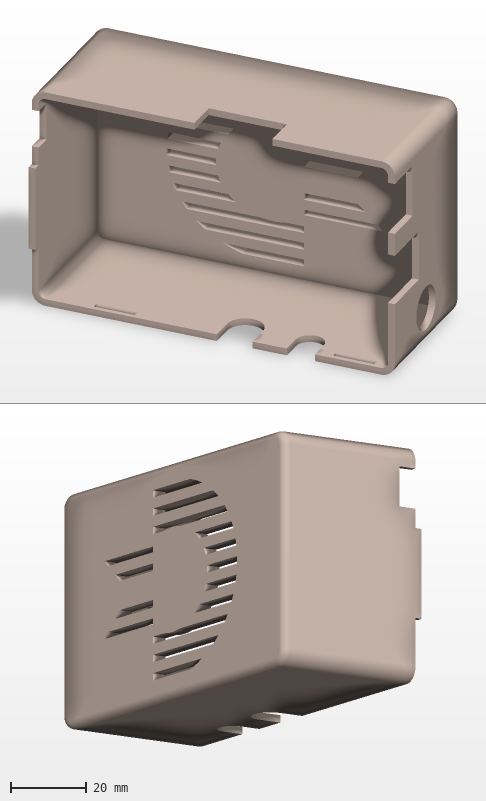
import cadquery as cq

LENGTH = 106.0
HEIGHT = 64.0
DEPTH = 42.4
WALL = 2.0
CORNER_RADIUS = 2 * WALL
BACK_WALL = 2 * WALL
BACK_EDGE_RADIUS = WALL

TAB_BOTTOM = -14.7
TAB_TOP = 9.8
TAB_REACH = WALL

SIDE_NOTCH_TOP = 26.0
LEFT_NOTCH = (15.0, SIDE_NOTCH_TOP, 5.1)
RIGHT_NOTCHES = [(11.0, SIDE_NOTCH_TOP, 11.7), (-10.1, 4.5, 15.7)]
TOP_NOTCH = (-5.5, 17.3, 9.3)

FLOOR_NOTCHES = [(6.3, 10.4, 12.0), (25.5, 8.2, 10.0)]

SIDE_HOLE_DIAMETER = 12.7
SIDE_HOLE_Y = 20.4
SIDE_HOLE_Z = -20.8

GROOVE_LENGTH = 12.0
GROOVE_RADIUS = 1.0
GROOVE_SINK = 0.5
GROOVE_Y = 2.2
GROOVE_CENTRES_X = (-29.5, 40.4)

SLOT_HEIGHT = 2.0
SLOT_PITCH = 5.0
SLOT_ROWS = 5
VENT_SPLIT_X = 9.3
RING_CENTRE_X = 0.3
RING_OUTER = (31.2, 27.0)
RING_INNER = (16.7, 14.3)
ARM_TIP_HEIGHT = 10.6
ARM_END_X = 20.8
ARM_END_SLOPE = 1.1


def block(x_range, y_range, z_range):
    """Axis-aligned box given by its limits on each axis."""
    size = [high - low for low, high in (x_range, y_range, z_range)]
    corner = (x_range[0], y_range[0], z_range[0])
    return cq.Workplane("XY").box(*size, centered=False).translate(corner)


def prism_y(profile, y_start, y_end):
    """Extrude an XZ sketch from y_start to y_end."""
    return profile.extrude(y_start - y_end).translate((0, y_start, 0))


def shell():
    outer = cq.Workplane("XZ").rect(LENGTH, HEIGHT)
    outer = prism_y(outer, 0, DEPTH).edges("|Y").fillet(CORNER_RADIUS)
    outer = outer.faces(">Y").edges().fillet(BACK_EDGE_RADIUS)
    cavity = cq.Workplane("XZ").rect(LENGTH - 2 * WALL, HEIGHT - 2 * WALL)
    cavity = prism_y(cavity, 0, DEPTH - BACK_WALL).edges("|Y").fillet(CORNER_RADIUS - WALL)
    return outer.cut(cavity)


def tab():
    left = -LENGTH / 2
    return block((left, left + WALL), (-TAB_REACH, WALL), (TAB_BOTTOM, TAB_TOP))


def rim_notches():
    side, top = LENGTH / 2, HEIGHT / 2
    low, high, depth = LEFT_NOTCH
    cutter = block((-side, -side + WALL), (0, depth), (low, high))
    for low, high, depth in RIGHT_NOTCHES:
        cutter = cutter.add(block((side - WALL, side), (0, depth), (low, high)))
    low, high, depth = TOP_NOTCH
    cutter = cutter.add(block((low, high), (0, depth), (top - WALL, top)))
    return cutter.combine()


def floor_notch(centre_x, width, depth):
    radius = width / 2
    return (
        cq.Workplane("XY", origin=(centre_x, 0, -HEIGHT / 2))
        .moveTo(-radius, 0)
        .lineTo(-radius, depth - radius)
        .threePointArc((0, depth), (radius, depth - radius))
        .lineTo(radius, 0)
        .close()
        .extrude(WALL)
    )


def side_hole():
    plane = cq.Workplane("YZ", origin=(LENGTH / 2 - WALL, SIDE_HOLE_Y, SIDE_HOLE_Z))
    return plane.circle(SIDE_HOLE_DIAMETER / 2).extrude(WALL)


def snap_groove(centre_x):
    """Shallow round groove along X, cut into the inner face of the floor."""
    axis_z = -HEIGHT / 2 + WALL + GROOVE_RADIUS - GROOVE_SINK
    plane = cq.Workplane("YZ", origin=(centre_x - GROOVE_LENGTH / 2, GROOVE_Y, axis_z))
    return plane.circle(GROOVE_RADIUS).extrude(GROOVE_LENGTH)


def vent_slots():
    y_start, y_end = DEPTH - BACK_WALL, DEPTH
    row_heights = [SLOT_PITCH * row for row in range(-SLOT_ROWS, SLOT_ROWS + 1)]
    rows = cq.Workplane("XZ").pushPoints([(0, z) for z in row_heights]).rect(LENGTH, SLOT_HEIGHT)
    rows = prism_y(rows, y_start, y_end)

    ring = cq.Workplane("XZ").center(RING_CENTRE_X, 0).ellipse(*RING_OUTER).ellipse(*RING_INNER)
    ring = prism_y(ring, y_start, y_end)
    ring = ring.intersect(block((-LENGTH, VENT_SPLIT_X), (y_start, y_end), (-HEIGHT, HEIGHT)))

    arms = cq.Workplane("XZ")
    arm_inner_z = SLOT_PITCH / 2
    for side in (-1, 1):
        arms = arms.polyline([
            (VENT_SPLIT_X, side * arm_inner_z),
            (ARM_END_X + ARM_END_SLOPE * arm_inner_z, side * arm_inner_z),
            (ARM_END_X + ARM_END_SLOPE * ARM_TIP_HEIGHT, side * ARM_TIP_HEIGHT),
            (VENT_SPLIT_X, side * ARM_TIP_HEIGHT),
        ]).close()
    arms = prism_y(arms, y_start, y_end)
    return rows.intersect(ring).add(rows.intersect(arms)).combine()


result = shell().union(tab()).cut(rim_notches()).cut(side_hole()).cut(vent_slots())
for notch in FLOOR_NOTCHES:
    result = result.cut(floor_notch(*notch))
for groove_x in GROOVE_CENTRES_X:
    result = result.cut(snap_groove(groove_x))